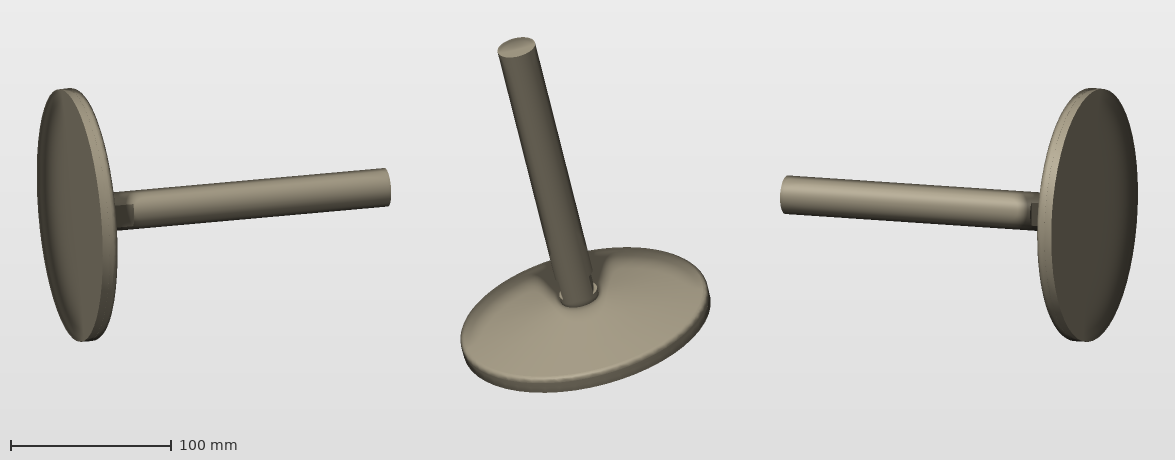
import cadquery as cq

total_length = 204.0
foot_diameter = 158.0
stem_diameter = 24.0

pad_diameter = 157.9
pad_thickness = 4.5
rim_corner_height = 9.8
rim_round_radius = 3.3
cone_top_height = 21.0

flat_start = 25.5
flat_length = 12.9
width_across_flats = 19.2


def axial_cylinder(diameter, start, length):
    """Solid cylinder around the Y axis, from y = start to y = start + length."""
    plane = cq.Workplane("XZ", origin=(0, start, 0))
    return plane.circle(diameter / 2).extrude(-length)


def make_cone():
    """Conical foot body with its outer upper corner rounded."""
    rim_radius = foot_diameter / 2
    profile = (
        cq.Workplane("XY")
        .moveTo(0, pad_thickness)
        .lineTo(rim_radius, pad_thickness)
        .lineTo(rim_radius, rim_corner_height)
        .lineTo(stem_diameter / 2, cone_top_height)
        .lineTo(0, cone_top_height)
        .close()
    )
    cone = profile.revolve(360, (0, 0, 0), (0, 1, 0))
    rim_edge = cone.faces("%CYLINDER").edges(">Y")
    return rim_edge.fillet(rim_round_radius)


def cut_wrench_flats(body):
    """Cut a flat into the -X and +X sides of the stem."""
    cutter_width = stem_diameter
    for side in (-1, 1):
        center_x = side * (width_across_flats + cutter_width) / 2
        cutter = cq.Workplane("XY").box(cutter_width, flat_length, stem_diameter)
        body = body.cut(cutter.translate((center_x, flat_start + flat_length / 2, 0)))
    return body


pad = axial_cylinder(pad_diameter, 0, pad_thickness)
stem = axial_cylinder(stem_diameter, pad_thickness, total_length - pad_thickness)
result = cut_wrench_flats(pad.union(make_cone()).union(stem))